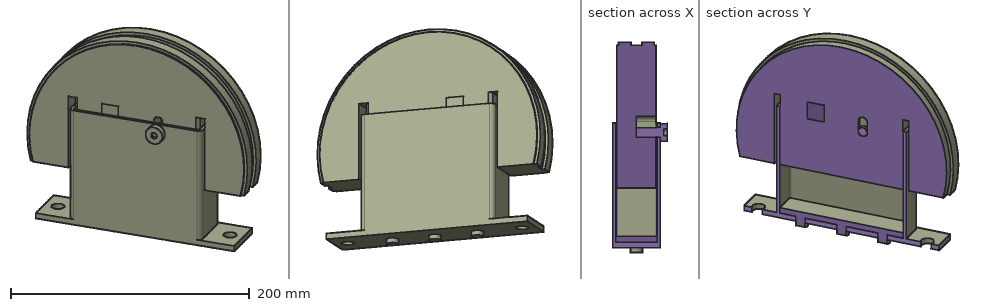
import cadquery as cq


base_length = 179.6
base_depth = 40.0
base_thickness = 5.0
tube_length = 119.6
tube_height = 99.9
tube_wall = 3.0
tube_corner_radius = 4.0
tube_inner_length = tube_length - 2 * tube_wall
tube_inner_depth = base_depth - 2 * tube_wall
mount_hole_diameter = 11.0
mount_hole_edge_distance = 12.0
mount_hole_x = base_length / 2 - mount_hole_edge_distance

disc_radius = 97.0
disc_thickness = 33.0
disc_centre_z = 75.0
disc_bottom_z = 50.0
band_radius = 99.7
band_width = 10.5
groove_width = 9.0
wall_slot_outer_x = 61.8
wall_slot_inner_x = 56.6
wall_slot_top_z = 115.5
tongue_chamfer = 3.0

pin_x = 19.5
pin_z = 96.9
pin_shank_diameter = 8.0
pin_head_diameter = 15.1
pin_head_height = 6.0
pin_socket_diameter = 5.2
pin_socket_depth = 3.0
pin_slot_travel = 9.2
pin_slot_angle = 90
pin_slot_depth = disc_thickness / 2
pin_end_y = -disc_thickness / 2 + pin_slot_depth

insert_width = 15.1
insert_height = 15.1
insert_x = -24.0
insert_top_z = 113.8
insert_z = insert_top_z - insert_height / 2

peg_plate_thickness = 5.0
peg_diameter = 10.4
peg_spacing = 37.9
peg_projection = 4.0
peg_points = [(-peg_spacing, 0), (0, 0), (peg_spacing, 0)]


def bar_along_y(x, z, diameter, y_start, y_end):
    """Round bar parallel to Y."""
    centre = cq.Vector(x, y_start, z)
    return cq.Workplane(cq.Solid.makeCylinder(diameter / 2, y_end - y_start, centre, cq.Vector(0, 1, 0)))


def make_bracket():
    base = cq.Workplane("XY").box(base_length, base_depth, base_thickness, centered=(True, True, False))
    tube = (
        cq.Workplane("XY")
        .workplane(offset=base_thickness)
        .rect(tube_length, base_depth)
        .extrude(tube_height)
        .edges("|Z")
        .fillet(tube_corner_radius)
    )
    cavity = (
        cq.Workplane("XY")
        .workplane(offset=base_thickness)
        .rect(tube_inner_length, tube_inner_depth)
        .extrude(tube_height)
        .edges("|Z")
        .fillet(tube_corner_radius - tube_wall)
    )
    mount_holes = (
        cq.Workplane("XY")
        .pushPoints([(-mount_hole_x, 0), (mount_hole_x, 0)])
        .circle(mount_hole_diameter / 2)
        .extrude(base_thickness)
    )
    peg_holes = cq.Workplane("XY").pushPoints(peg_points).circle(peg_diameter / 2).extrude(base_thickness)
    pin_hole = bar_along_y(pin_x, pin_z, pin_shank_diameter, -base_depth / 2, pin_end_y)
    return base.union(tube).cut(cavity).cut(mount_holes).cut(peg_holes).cut(pin_hole)


def make_wall_slots():
    """Two open-bottomed slots for the tube walls, flared by the chamfers of the tongue between them."""
    half_thickness = disc_thickness / 2
    slot_profile = (
        cq.Workplane("XY")
        .workplane(offset=disc_bottom_z)
        .moveTo(wall_slot_outer_x, -half_thickness)
        .lineTo(wall_slot_outer_x, half_thickness)
        .lineTo(wall_slot_inner_x - tongue_chamfer, half_thickness)
        .lineTo(wall_slot_inner_x, half_thickness - tongue_chamfer)
        .lineTo(wall_slot_inner_x, -half_thickness + tongue_chamfer)
        .lineTo(wall_slot_inner_x - tongue_chamfer, -half_thickness)
        .close()
    )
    right_slot = slot_profile.extrude(wall_slot_top_z - disc_bottom_z)
    return right_slot.union(right_slot.mirror("YZ"))


def make_pin_slot():
    """Blind upright slot with round ends in the -Y face; the pin sits at its lower end."""
    return (
        cq.Workplane("XZ", origin=(0, pin_end_y, 0))
        .center(pin_x, pin_z + pin_slot_travel / 2)
        .slot2D(pin_slot_travel + pin_shank_diameter, pin_shank_diameter, pin_slot_angle)
        .extrude(pin_slot_depth)
    )


def make_disc(insert):
    disc = bar_along_y(0, disc_centre_z, 2 * disc_radius, -disc_thickness / 2, disc_thickness / 2)
    for band_start in (-groove_width / 2 - band_width, groove_width / 2):
        band = bar_along_y(0, disc_centre_z, 2 * band_radius, band_start, band_start + band_width)
        disc = disc.union(band)
    below_disc = (
        cq.Workplane("XY")
        .workplane(offset=disc_bottom_z)
        .rect(2 * band_radius, disc_thickness)
        .extrude(-band_radius)
    )
    return disc.cut(below_disc).cut(make_wall_slots()).cut(make_pin_slot()).cut(insert)


def make_pin():
    front_y = -base_depth / 2
    head_y = front_y - pin_head_height
    shank = bar_along_y(pin_x, pin_z, pin_shank_diameter, front_y, pin_end_y)
    head = bar_along_y(pin_x, pin_z, pin_head_diameter, head_y, front_y)
    socket = bar_along_y(pin_x, pin_z, pin_socket_diameter, head_y, head_y + pin_socket_depth)
    return shank.union(head).cut(socket)


def make_insert():
    return cq.Workplane("XY").box(insert_width, disc_thickness, insert_height).translate((insert_x, 0, insert_z))


def make_peg_plate():
    plate = (
        cq.Workplane("XY")
        .workplane(offset=base_thickness)
        .rect(tube_inner_length, tube_inner_depth)
        .extrude(peg_plate_thickness)
        .edges("|Z")
        .fillet(tube_corner_radius - tube_wall)
    )
    pegs = (
        cq.Workplane("XY")
        .workplane(offset=-peg_projection)
        .pushPoints(peg_points)
        .circle(peg_diameter / 2)
        .extrude(peg_projection + base_thickness)
    )
    return plate.union(pegs)


bracket = make_bracket()
insert = make_insert()
disc = make_disc(insert)
pin = make_pin()
peg_plate = make_peg_plate()

result = cq.Compound.makeCompound([bracket.val(), disc.val(), insert.val(), pin.val(), peg_plate.val()])